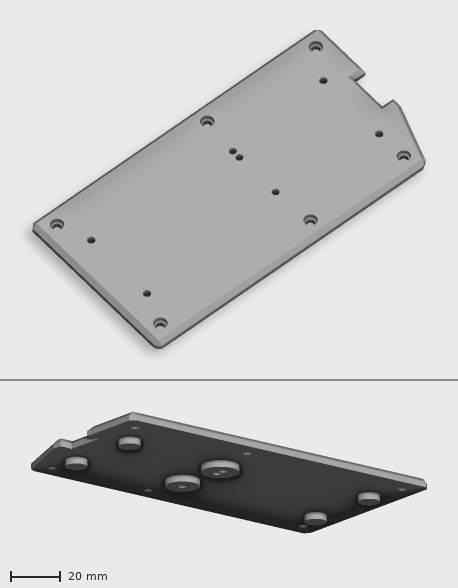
import cadquery as cq

WIDTH = 79.5
LENGTH = 151.5
THICKNESS = 4.1
CHAMFER = 2.0

SLOPE_START_X = 11.2
SLOPE_END_Y = 65.5

NOTCH_LEFT = -10.6
NOTCH_RIGHT = 6.7
NOTCH_DEPTH = 5.8

SCREW_DIAMETER = 3.5
COUNTERBORE_DIAMETER = 5.8
COUNTERBORE_DEPTH = 1.8
SCREW_X = 32.0
SCREW_END_Y = 67.9
SCREW_MIDDLE_Y = 10.9
SCREW_SLOPE_Y = 59.8
SCREW_POINTS = [
    (-SCREW_X, SCREW_END_Y),
    (SCREW_X, SCREW_SLOPE_Y),
    (-SCREW_X, SCREW_MIDDLE_Y),
    (SCREW_X, SCREW_MIDDLE_Y),
    (-SCREW_X, -SCREW_END_Y),
    (SCREW_X, -SCREW_END_Y),
]

BOSS_HEIGHT = 2.9

PIN_BOSS_DIAMETER = 9.0
PIN_DIAMETER = 3.3
PIN_DEPTH = THICKNESS
PIN_X = 17.3
PIN_UPPER_Y = 59.4
PIN_LOWER_Y = -62.4
PIN_POINTS = [(x, y) for x in (-PIN_X, PIN_X) for y in (PIN_UPPER_Y, PIN_LOWER_Y)]

THROUGH_DIAMETER = 3.2
THROUGH_Y = 9.2
PAIR_BOSS_DIAMETER = 15.5
PAIR_BOSS_X = -12.1
PAIR_SPACING = 4.1
SINGLE_BOSS_DIAMETER = 14.0
SINGLE_BOSS_X = 12.3
THROUGH_POINTS = [
    (PAIR_BOSS_X - PAIR_SPACING / 2, THROUGH_Y),
    (PAIR_BOSS_X + PAIR_SPACING / 2, THROUGH_Y),
    (SINGLE_BOSS_X, THROUGH_Y),
]


def make_plate():
    """Notched plate with chamfered upright corners and a chamfered top rim."""
    side = WIDTH / 2
    end = LENGTH / 2
    notch_floor = end - NOTCH_DEPTH
    outline = [
        (-side, -end),
        (side, -end),
        (side, SLOPE_END_Y),
        (SLOPE_START_X, end),
        (NOTCH_RIGHT, end),
        (NOTCH_RIGHT, notch_floor),
        (NOTCH_LEFT, notch_floor),
        (NOTCH_LEFT, end),
        (-side, end),
    ]
    block = cq.Workplane("XY").polyline(outline).close().extrude(THICKNESS)
    corners = block.edges("|Z and (<X or >X)")
    rim = block.faces(">Z").edges()
    return corners.add(rim).chamfer(CHAMFER)


def bosses(points, diameter):
    """Round bosses hanging from the underside of the plate."""
    return cq.Workplane("XY").pushPoints(points).circle(diameter / 2).extrude(-BOSS_HEIGHT)


def holes(points, diameter, depth):
    """Round cutters running down from the top face."""
    top = cq.Workplane("XY").workplane(offset=THICKNESS)
    return top.pushPoints(points).circle(diameter / 2).extrude(-depth)


plate = make_plate()

body = (
    plate.union(bosses(PIN_POINTS, PIN_BOSS_DIAMETER))
    .union(bosses([(PAIR_BOSS_X, THROUGH_Y)], PAIR_BOSS_DIAMETER))
    .union(bosses([(SINGLE_BOSS_X, THROUGH_Y)], SINGLE_BOSS_DIAMETER))
)

result = (
    body.cut(holes(SCREW_POINTS, SCREW_DIAMETER, THICKNESS))
    .cut(holes(SCREW_POINTS, COUNTERBORE_DIAMETER, COUNTERBORE_DEPTH))
    .cut(holes(PIN_POINTS, PIN_DIAMETER, PIN_DEPTH))
    .cut(holes(THROUGH_POINTS, THROUGH_DIAMETER, THICKNESS + BOSS_HEIGHT))
)